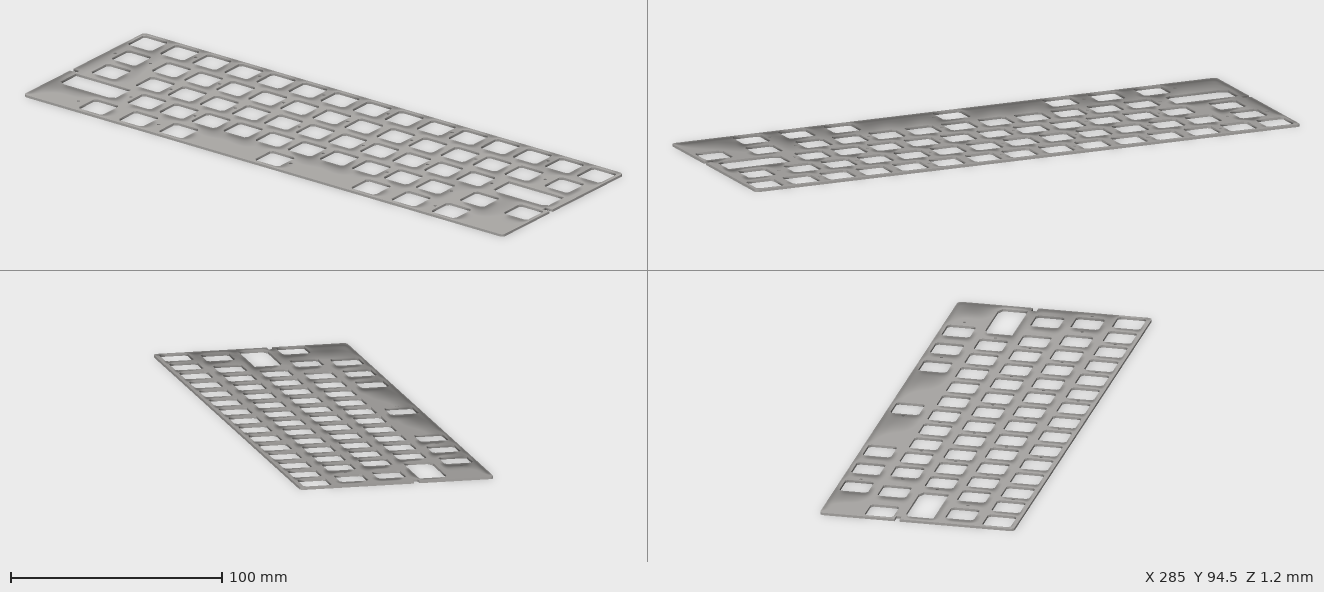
import cadquery as cq

length = 285.0
width = 94.5
thickness = 1.2
corner_radius = 2.0

column_count = 15
row_count = 5
grid_span = 266.8
pitch = grid_span / (column_count - 1)

key_opening_width = 14.5
key_opening_height = 14.0
key_bevel = 1.28

wide_opening = 32.8
wide_bevel_width = 3.5
wide_bevel_height = 1.7

hole_diameter = 1.62
notch_depth = 4.0
notch_width = 2.5
notch_y = -pitch / 2

key_columns = [
    list(range(15)),
    [0.25] + [1.5 + i for i in range(12)] + [13.75],
    [0.375] + [1.75 + i for i in range(11)],
    [2.25 + i for i in range(10)] + [12.625, 14],
    [1.5, 2.75, 4, 7, 10, 11.25, 12.5],
]
wide_keys = [(13.375, 2), (0.625, 3)]
hole_columns = [
    [1.5, 3.5, 5.5, 7.5, 9.5, 12.5],
    [-0.25, 0.84, 3, 5, 7, 9, 11, 13.16],
    [2.25, 4.25, 6.25, 8.25, 10.25, 12.25],
    [1.75, 3.75, 7.75, 9.75, 11.75],
    [0.875, 3.375, 7.5, 12],
]


def grid_point(column, row):
    """Plate position of a column and row, with row 0 at the top (+Y)."""
    x = (column - (column_count - 1) / 2) * pitch
    y = ((row_count - 1) / 2 - row) * pitch
    return (x, y)


def grid_points(columns_by_row):
    """Plate positions of every column listed for every row."""
    return [grid_point(column, row) for row, columns in enumerate(columns_by_row) for column in columns]


def cutter():
    """Workplane on the bottom of the plate, from which through cuts are extruded."""
    return cq.Workplane("XY").workplane(offset=-thickness / 2)


def make_plate():
    return cq.Workplane("XY").box(length, width, thickness).edges("|Z").fillet(corner_radius)


def make_key_openings():
    openings = cutter().pushPoints(grid_points(key_columns)).rect(key_opening_width, key_opening_height)
    return openings.extrude(thickness).edges("|Z").chamfer(key_bevel)


def make_wide_opening(column, row):
    """Wide opening, drawn as a rectangle with its two lower corners cut off."""
    x, y = grid_point(column, row)
    right = wide_opening / 2
    top = key_opening_height / 2
    outline = [
        (x - right, y + top),
        (x + right, y + top),
        (x + right, y - top + wide_bevel_height),
        (x + right - wide_bevel_width, y - top),
        (x - right + wide_bevel_width, y - top),
        (x - right, y - top + wide_bevel_height),
    ]
    return cutter().polyline(outline).close().extrude(thickness)


def make_holes():
    return cutter().pushPoints(grid_points(hole_columns)).circle(hole_diameter / 2).extrude(thickness)


def make_notches():
    edge_points = [(-length / 2, notch_y), (length / 2, notch_y)]
    return cutter().pushPoints(edge_points).rect(2 * notch_depth, notch_width).extrude(thickness)


result = make_plate().cut(make_key_openings()).cut(make_holes()).cut(make_notches())
for column, row in wide_keys:
    result = result.cut(make_wide_opening(column, row))